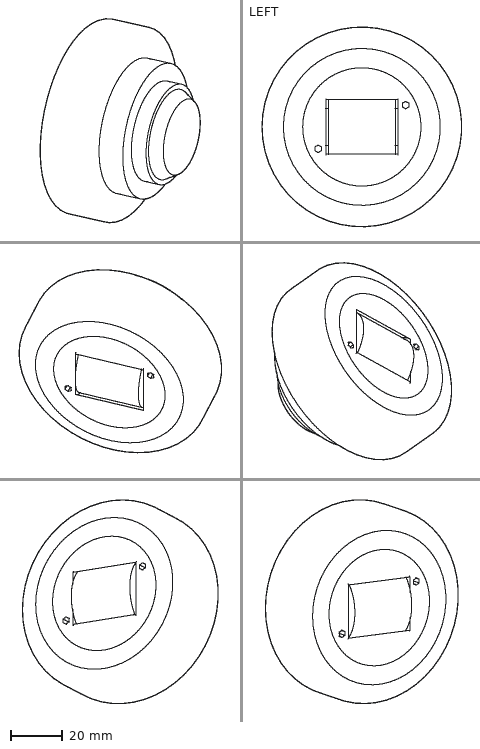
import cadquery as cq
import math


wheel_radius = 77.7 / 2
wheel_width = 23.0
wheel_face_radius = 30.5
wheel_cone_angle = math.radians(20)
front_round = 3.0
rear_round = 2.2

disc_radius = 23.0
collar_radius = 27.0
collar_end = 33.5
shank_radius = 20.0
shank_end = 40.0
tip_base_radius = 18.0
tip_end_radius = 15.15
stud_end = 45.0

roller_radius = 15.0
roller_width = 26.0
roller_projection = 3.0
roller_axis_x = roller_radius - roller_projection
axle_radius = 7.2
axle_length = 36.0

pocket_clearance = 1.0
pocket_radius = roller_radius + pocket_clearance
pocket_width = roller_width + 2 * pocket_clearance
socket_across_flats = 2.5
socket_depth = 5.0
socket_y = 17.0
socket_z = 8.5


def cross_cylinder(radius, length):
    """Cylinder along Y, centred on the roller axis."""
    return (
        cq.Workplane("XZ")
        .workplane(offset=-length / 2)
        .center(roller_axis_x, 0)
        .circle(radius)
        .extrude(length)
    )


def revolve_about_x(profile):
    """Turn a closed profile in the XY plane (X = axial, Y = radial) about the X axis."""
    return profile.close().revolve(360, (0, 0, 0), (1, 0, 0))


def make_wheel():
    """Ring with a conical front, a round blending cone and tread, and a rounded rear edge."""
    sin_a = math.sin(wheel_cone_angle)
    cos_a = math.cos(wheel_cone_angle)
    round_centre_r = wheel_radius - front_round
    cone_end_r = round_centre_r + front_round * sin_a
    cone_end_x = (cone_end_r - wheel_face_radius) * math.tan(wheel_cone_angle)
    round_centre_x = cone_end_x + front_round * cos_a
    mid_angle = (wheel_cone_angle + math.pi / 2) / 2
    round_middle = (
        round_centre_x - front_round * math.cos(mid_angle),
        round_centre_r + front_round * math.sin(mid_angle),
    )
    rear_offset = rear_round * (1 - math.sqrt(0.5))
    profile = (
        cq.Workplane("XY")
        .moveTo(0, disc_radius)
        .lineTo(0, wheel_face_radius)
        .lineTo(cone_end_x, cone_end_r)
        .threePointArc(round_middle, (round_centre_x, wheel_radius))
        .lineTo(wheel_width - rear_round, wheel_radius)
        .threePointArc(
            (wheel_width - rear_offset, wheel_radius - rear_offset),
            (wheel_width, wheel_radius - rear_round),
        )
        .lineTo(wheel_width, disc_radius)
    )
    return revolve_about_x(profile)


def make_stud():
    """Stepped stud with the roller pocket, the axle bore and two blind hexagon sockets."""
    profile = (
        cq.Workplane("XY")
        .moveTo(0, 0)
        .lineTo(0, disc_radius)
        .lineTo(wheel_width, disc_radius)
        .lineTo(wheel_width, collar_radius)
        .lineTo(collar_end, collar_radius)
        .lineTo(collar_end, shank_radius)
        .lineTo(shank_end, shank_radius)
        .lineTo(shank_end, tip_base_radius)
        .lineTo(stud_end, tip_end_radius)
        .lineTo(stud_end, 0)
    )
    socket_across_corners = socket_across_flats / math.cos(math.pi / 6)
    hexagon = cq.Sketch().regularPolygon(socket_across_corners / 2, 6)
    sockets = (
        cq.Workplane("YZ")
        .pushPoints([(socket_y, -socket_z), (-socket_y, socket_z)])
        .placeSketch(hexagon)
        .extrude(socket_depth)
    )
    return (
        revolve_about_x(profile)
        .cut(cross_cylinder(pocket_radius, pocket_width))
        .cut(cross_cylinder(axle_radius, axle_length))
        .cut(sockets)
    )


def make_roller():
    """Side roller, bored to fit its axle."""
    return cross_cylinder(roller_radius, roller_width).cut(cross_cylinder(axle_radius, roller_width))


def make_axle():
    """Plain pin carrying the roller, held at both ends in the stud."""
    return cross_cylinder(axle_radius, axle_length)


wheel = make_wheel()
stud = make_stud()
roller = make_roller()
axle = make_axle()

result = cq.Compound.makeCompound([wheel.val(), stud.val(), roller.val(), axle.val()])